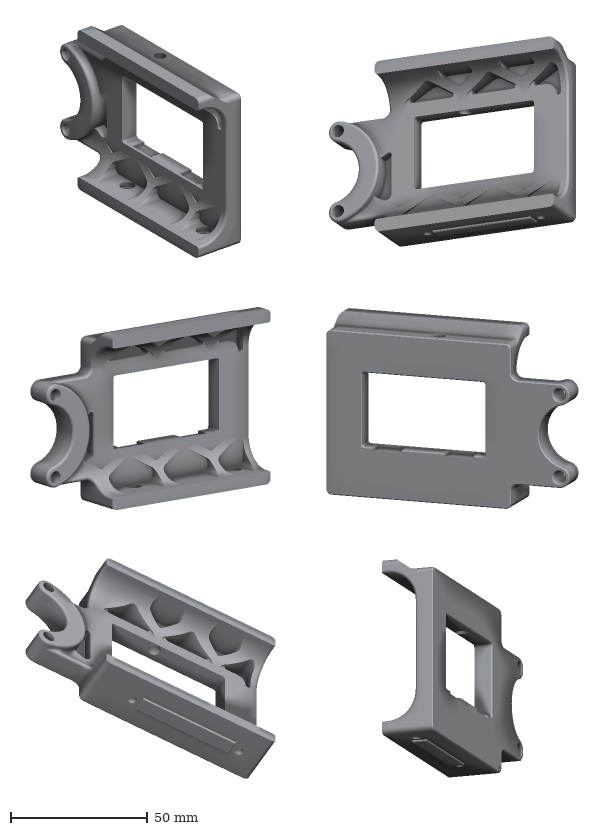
import cadquery as cq
import math


frame_length = 72.2
total_depth = 20.0
plate_thickness = 7.0
cove_radius = 11.0
rail_thickness = 5.0
plate_bottom_z = -13.0
plate_top_z = 21.0
lower_rail_z = plate_bottom_z - cove_radius
upper_rail_z = plate_top_z + cove_radius
frame_bottom_z = lower_rail_z - rail_thickness
frame_top_z = upper_rail_z + rail_thickness
rail_start_depth = plate_thickness + cove_radius
back_step = 4.0
back_step_depth = 9.0
slope_end_depth = 14.7
back_top_z = frame_top_z - back_step
back_slope = back_step / (slope_end_depth - back_step_depth)
slope_foot_z = frame_top_z - slope_end_depth * back_slope
back_block_overlap = 0.5
end_radius = 2.0
front_edge_radius = 1.0
back_edge_chamfer = 0.4

lug_x = -19.0
ring_mid_radius = 16.0
lug_radius = 4.0
ring_inner_radius = ring_mid_radius - lug_radius
ring_outer_radius = ring_mid_radius + lug_radius
ring_depth = 10.6
lug_pitch = 31.0
lug_z = lug_pitch / 2
ring_x = lug_x - math.sqrt(ring_mid_radius**2 - lug_z**2)
arm_half_height = lug_z + lug_radius
arm_corner_radius = 3.0
ring_root_radius = 0.8

insert_hole_diameter = 4.7
screw_hole_diameter = 3.2
screw_head_diameter = 6.0
screw_head_recess = 2.0
top_hole_x = 29.6
top_hole_depth = 4.6
screw_xs = (17.0, 62.5)
screw_depth = 10.0

window_left = 10.0
window_right = 58.2
window_bottom = -10.0
window_top = 18.0
window_radius = 1.0
notch_width = 11.3
notch_pitch = 28.0
notch_drop = 1.2
sill_thickness = 1.2

cell_pitch = 25.0
first_apex_x = 17.0
cell_count = 3
rib_width = 3.2
rib_angle = math.radians(30)
slope = math.tan(rib_angle)
tip_drop = cell_pitch / 2 * slope - rib_width / math.cos(rib_angle)
cell_half_width = (cell_pitch - rib_width) / 2
last_cell_right = 69.1
upper_apex_z = 30.2
cell_radius = 2.5
cell_base_radius = 2.1
last_apex_radius = 1.9
small_radius = 1.0
deep_floor_depth = 3.0
deep_base_z = 23.5
deep_toe_z = 18.8
deep_toe_width = 2.1
deep_toe_radius = 0.95
deep_toe_hollow_radius = 4.0

ring_pocket_right = 0.9
ring_pocket_top = 6.5

pad_center_x = 39.8
pad_length = 39.5
pad_depth = 5.7
pad_height = 0.8
pad_chamfer = 0.3

tolerance = 0.001
curve_tolerance = 0.02


def front_plane(depth):
    """XZ sketch plane at the given depth; extrusion runs towards the front."""
    return cq.Workplane("XZ", origin=(0, -depth, 0))


def prism(points, depth, length):
    return front_plane(depth).polyline(points).close().extrude(length)


def corner_edges(solid, x, z):
    """Edges along Y that pass through the point (x, z)."""
    def is_here(edge):
        center = edge.Center()
        return math.hypot(center.x - x, center.z - z) < tolerance

    return [edge for edge in solid.edges("|Y").vals() if is_here(edge)]


def rounded_prism(corners, depth, length):
    """Prism whose corners (x, z, radius) are each rounded with their own radius."""
    solid = prism([(x, z) for x, z, _ in corners], depth, length)
    for x, z, radius in corners:
        if radius:
            solid = solid.newObject(corner_edges(solid, x, z)).fillet(radius)
    return solid


def frame_profile(start_x, length):
    """Side profile with a concave cove running into each rail and a sloped upper back."""
    bulge = cove_radius * math.sqrt(0.5)
    lower_mid = (-rail_start_depth + bulge, plate_bottom_z - bulge)
    upper_mid = (-rail_start_depth + bulge, plate_top_z + bulge)
    return (
        cq.Workplane("YZ", origin=(start_x, 0, 0))
        .moveTo(0, frame_bottom_z)
        .lineTo(-total_depth, frame_bottom_z)
        .lineTo(-total_depth, lower_rail_z)
        .lineTo(-rail_start_depth, lower_rail_z)
        .threePointArc(lower_mid, (-plate_thickness, plate_bottom_z))
        .lineTo(-plate_thickness, plate_top_z)
        .threePointArc(upper_mid, (-rail_start_depth, upper_rail_z))
        .lineTo(-total_depth, upper_rail_z)
        .lineTo(-total_depth, frame_top_z)
        .lineTo(-slope_end_depth, frame_top_z)
        .lineTo(0, slope_foot_z)
        .close()
        .extrude(length)
    )


def front_surface_depth(z):
    """Depth of the plate and cove surface at height z, between the rails."""
    offset = max(plate_bottom_z - z, z - plate_top_z, 0)
    rise = min(offset, cove_radius)
    return rail_start_depth - math.sqrt(cove_radius**2 - rise**2)


def make_rounded_frame():
    """Frame whose rails and upper back block each have rounded end corners."""
    frame = frame_profile(0, frame_length)
    for side in ("<Z", ">Z"):
        frame = frame.edges("|Y").edges(side).edges("<X or >X").fillet(end_radius)
    back_block_depth = back_step_depth + back_block_overlap
    block_outline = [
        (0, slope_foot_z),
        (0, back_top_z),
        (-back_block_depth, back_top_z),
        (-back_block_depth, back_top_z - 2 * end_radius),
    ]
    block = cq.Workplane("YZ").polyline(block_outline).close().extrude(frame_length)
    block = block.edges("|Y").edges("<X or >X").fillet(end_radius)
    return frame.union(block)


def add_arm(frame):
    """Carry the plate and lower cove on to the left and blend the arm into the frame."""
    arm_length = -lug_x
    envelope = cq.Workplane("XY").box(arm_length, total_depth, 2 * arm_half_height)
    envelope = envelope.translate((lug_x / 2, -total_depth / 2, 0))
    body = frame.union(frame_profile(lug_x, arm_length).intersect(envelope))
    inner_corners = corner_edges(body, 0, arm_half_height) + corner_edges(body, 0, -arm_half_height)
    return body.newObject(inner_corners).fillet(arm_corner_radius)


def round_front_edges(body):
    """Round the outer edges of the plate, coves and flat rail tips."""
    seam_zs = (plate_bottom_z, plate_top_z)

    def is_outer_edge(edge):
        middle = edge.positionAt(0.5)
        on_tip = edge.geomType() == "LINE" and abs(abs(edge.tangentAt(0.5).y) - 1) < tolerance
        if on_tip:
            return min(abs(middle.z - lower_rail_z), abs(middle.z - upper_rail_z)) < tolerance
        on_surface = abs(-middle.y - front_surface_depth(middle.z)) < curve_tolerance
        seam = any(abs(middle.z - z) < tolerance for z in seam_zs)
        between_rails = lower_rail_z < middle.z < upper_rail_z
        return on_surface and between_rails and not seam and middle.x > lug_x + tolerance

    edges = [e for e in body.edges().vals() if is_outer_edge(e)]
    return body.newObject(edges).fillet(front_edge_radius)


def ring_cylinder(radius, depth):
    return front_plane(0).center(ring_x, 0).circle(radius).extrude(depth)


def lug_cylinders(radius):
    centers = [(lug_x, lug_z), (lug_x, -lug_z)]
    return front_plane(0).pushPoints(centers).circle(radius).extrude(ring_depth)


def make_ring():
    """Part of a ring ending in a round lug at each motor screw."""
    lug_angle = math.atan2(lug_z, lug_x - ring_x)
    reach = 2 * ring_outer_radius
    wedge_x = ring_x + reach * math.cos(lug_angle)
    wedge_z = reach * math.sin(lug_angle)
    wedge = [
        (ring_x, 0),
        (wedge_x, wedge_z),
        (ring_x + reach, wedge_z),
        (ring_x + reach, -wedge_z),
        (wedge_x, -wedge_z),
    ]
    ring = ring_cylinder(ring_outer_radius, ring_depth).intersect(prism(wedge, 0, ring_depth))
    ring = ring.cut(ring_cylinder(ring_inner_radius, ring_depth))
    ring = ring.union(lug_cylinders(lug_radius)).clean()
    return ring.faces("<Y").edges().fillet(front_edge_radius)


def add_ring(body):
    """Join the ring to the arm with a small fillet at its outer root and drill the lugs."""
    body = body.cut(ring_cylinder(ring_inner_radius, ring_depth))
    body = body.union(make_ring())

    def is_root(edge):
        p = edge.positionAt(0.5)
        on_outside = abs(math.hypot(p.x - ring_x, p.z) - ring_outer_radius) < curve_tolerance
        shoulder_depth = ring_depth - front_edge_radius
        in_reach = plate_thickness - front_edge_radius < -p.y < shoulder_depth - tolerance
        return on_outside and in_reach and edge.geomType() != "LINE"

    roots = [e for e in body.edges().vals() if is_root(e)]
    body = body.newObject(roots).fillet(ring_root_radius)
    return body.cut(lug_cylinders(insert_hole_diameter / 2))


def cut_window(body):
    """Window through the plate, chamfered at the back, with two notches in its sill."""
    center_x = (window_left + window_right) / 2
    window = (
        front_plane(0)
        .center(center_x, (window_bottom + window_top) / 2)
        .rect(window_right - window_left, window_top - window_bottom)
        .extrude(plate_thickness)
        .edges("|Y")
        .fillet(window_radius)
    )
    body = body.cut(window)
    body = body.faces(">Y").edges().chamfer(back_edge_chamfer)
    notch_depth = plate_thickness - sill_thickness
    for notch_x in (center_x - notch_pitch / 2, center_x + notch_pitch / 2):
        notch = (
            front_plane(0)
            .center(notch_x, window_bottom)
            .rect(notch_width, 2 * notch_drop)
            .extrude(notch_depth)
        )
        body = body.cut(notch)
    return body


def cove_cell(apex_x, apex_z, base_z, base_radius):
    """House-shaped cell cut back to the plate surface; its roof follows the ribs."""
    eaves_z = apex_z - cell_half_width * slope
    left = apex_x - cell_half_width
    if apex_x + cell_half_width < frame_length:
        right = apex_x + cell_half_width
        roof = [(right, eaves_z, cell_radius), (apex_x, apex_z, cell_radius)]
    else:
        right = last_cell_right
        roof = [(right, apex_z + (right - apex_x) * slope, last_apex_radius)]
    corners = [(left, base_z, base_radius), (right, base_z, base_radius)]
    corners += roof + [(left, eaves_z, cell_radius)]
    return rounded_prism(corners, plate_thickness, total_depth)


def deep_triangle(apex_x):
    """Pocket into the plate behind an upper cell, under the same roof."""
    half_base = (upper_apex_z - deep_base_z) / slope
    corners = [
        (apex_x - half_base, deep_base_z, small_radius),
        (apex_x + half_base, deep_base_z, small_radius),
        (apex_x, upper_apex_z, cell_radius),
    ]
    return rounded_prism(corners, deep_floor_depth, total_depth)


def deep_last_pocket(apex_x):
    """Last upper pocket: straight on the right, with a toe reaching down the plate."""
    toe_left = last_cell_right - deep_toe_width
    corners = [
        (apex_x - (upper_apex_z - deep_base_z) / slope, deep_base_z, small_radius),
        (toe_left, deep_base_z, deep_toe_hollow_radius),
        (toe_left, deep_toe_z, deep_toe_radius),
        (last_cell_right, deep_toe_z, deep_toe_radius),
        (last_cell_right, upper_apex_z + (last_cell_right - apex_x) * slope, last_apex_radius),
    ]
    return rounded_prism(corners, deep_floor_depth, total_depth)


def rib_notch(tip_x, tip_z, top_z, top_radius):
    """Downward triangle between two ribs, cut back to the plate surface."""
    half_top = (top_z - tip_z) / slope
    corners = [
        (tip_x, tip_z, small_radius),
        (tip_x + half_top, top_z, top_radius),
        (tip_x - half_top, top_z, top_radius),
    ]
    return rounded_prism(corners, plate_thickness, total_depth)


def cut_lattice(body):
    """Cut the coves so that only the ribs between the cells stay."""
    apex_xs = [first_apex_x + i * cell_pitch for i in range(cell_count)]
    for apex_x in apex_xs:
        is_last = apex_x == apex_xs[-1]
        body = body.cut(cove_cell(apex_x, plate_bottom_z, lower_rail_z, cell_base_radius))
        body = body.cut(cove_cell(apex_x, upper_apex_z, plate_top_z, 0))
        body = body.cut(deep_last_pocket(apex_x) if is_last else deep_triangle(apex_x))
        tip_x = apex_x - cell_pitch / 2
        body = body.cut(rib_notch(tip_x, plate_bottom_z - tip_drop, plate_bottom_z, 0))
        if apex_x != apex_xs[0]:
            upper_tip_z = upper_apex_z - tip_drop
            body = body.cut(rib_notch(tip_x, upper_tip_z, upper_rail_z, small_radius))
    return body


def cut_ring_pocket(body):
    """Pocket into the plate between the ring and the first rib."""
    first_tip_x = first_apex_x - cell_pitch / 2
    first_tip_z = plate_bottom_z - tip_drop
    right = ring_pocket_right
    run = right - ring_x
    corners = [
        (right, ring_pocket_top, small_radius),
        (ring_x, ring_pocket_top - run * slope, 0),
        (ring_x, first_tip_z + (first_tip_x - ring_x) * slope, 0),
        (right, first_tip_z + (first_tip_x - right) * slope, cell_radius),
    ]
    pocket = rounded_prism(corners, deep_floor_depth, total_depth)
    return body.cut(pocket.cut(ring_cylinder(ring_outer_radius, 2 * total_depth)))


def vertical_hole(x, depth, diameter, bottom_z, top_z):
    plane = cq.Workplane("XY", origin=(x, -depth, bottom_z))
    return plane.circle(diameter / 2).extrude(top_z - bottom_z)


def cut_vertical_holes(body):
    """Insert hole down to the window and counterbored screw holes in the lower rail."""
    body = body.cut(
        vertical_hole(top_hole_x, top_hole_depth, insert_hole_diameter, window_top, back_top_z)
    )
    head_seat_z = lower_rail_z - screw_head_recess
    pad_z = frame_bottom_z - pad_height
    for x in screw_xs:
        body = body.cut(vertical_hole(x, screw_depth, screw_hole_diameter, pad_z, lower_rail_z))
        body = body.cut(
            vertical_hole(x, screw_depth, screw_head_diameter, head_seat_z, lower_rail_z)
        )
    return body


def make_pad():
    pad = cq.Workplane("XY").box(pad_length, pad_depth, pad_height, centered=(True, True, False))
    pad = pad.faces("<Z").edges().chamfer(pad_chamfer)
    return pad.translate((pad_center_x, -screw_depth, frame_bottom_z - pad_height))


result = add_ring(round_front_edges(add_arm(make_rounded_frame())))
result = cut_window(result)
result = cut_lattice(result)
result = cut_ring_pocket(result)
result = result.union(make_pad())
result = cut_vertical_holes(result)